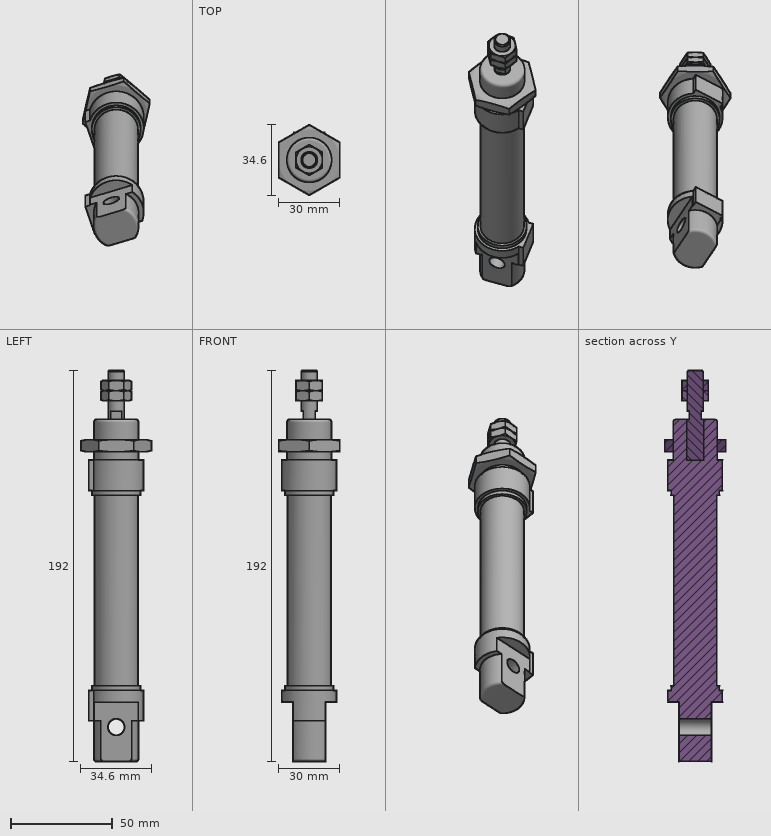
import cadquery as cq
import math

TOTAL_LENGTH = 192.0
ROD_PROTRUSION = 24.0
NOSE_LENGTH = 20.0
FRONT_CAP_HEIGHT = 15.0
COLLAR_HEIGHT = 2.35
TONGUE_LENGTH = 20.0
REAR_CAP_HEIGHT = 15.0
nose_top = TOTAL_LENGTH - ROD_PROTRUSION
front_cap_top = nose_top - NOSE_LENGTH
front_cap_bottom = front_cap_top - FRONT_CAP_HEIGHT
front_collar_bottom = front_cap_bottom - COLLAR_HEIGHT
rear_cap_top = TONGUE_LENGTH + REAR_CAP_HEIGHT
rear_collar_top = rear_cap_top + COLLAR_HEIGHT

NOSE_DIAMETER = 22.0
END_FILLET_RADIUS = 1.5
CAP_DIAMETER = 27.0
COLLAR_DIAMETER = 24.0
TUBE_DIAMETER = 21.4
PORT_PAD_WIDTH = 15.4
TONGUE_DIAMETER = 22.0
TONGUE_THICKNESS = 16.0
TONGUE_FLAT_HEIGHT = 29.2
PIVOT_HOLE_DIAMETER = 8.0
PIVOT_HOLE_HEIGHT = 17.0

ROD_DIAMETER = 8.0
ROD_TIP_DIAMETER = 6.65
ROD_FLAT_WIDTH = 6.0
ROD_FLAT_HEIGHT = 4.0
ROD_INSERTION = NOSE_LENGTH
rod_tip_chamfer = (ROD_DIAMETER - ROD_TIP_DIAMETER) / 2

NOSE_NUT_WIDTH = 30.0
NOSE_NUT_HEIGHT = 6.0
NOSE_NUT_BOTTOM = 152.0
ROD_NUT_WIDTH = 13.0
ROD_NUT_HEIGHT = 5.0
ROD_NUT_COUNT = 2
ROD_NUTS_BOTTOM = 177.0
NOSE_NUT_CHAMFER_ANGLE = 15.0
ROD_NUT_CHAMFER_ANGLE = 27.0


def cylinder(diameter, bottom, top):
    return cq.Workplane("XY", origin=(0, 0, bottom)).circle(diameter / 2).extrude(top - bottom)


def end_cap(bottom, top):
    """Round cap with a flat port pad on its +Y side."""
    radius = CAP_DIAMETER / 2
    pad = (
        cq.Workplane("XY", origin=(0, radius / 2, bottom))
        .rect(PORT_PAD_WIDTH, radius)
        .extrude(top - bottom)
    )
    return cylinder(CAP_DIAMETER, bottom, top).union(pad)


def make_nose():
    nose = cylinder(NOSE_DIAMETER, front_cap_top, nose_top)
    return nose.faces(">Z").edges().fillet(END_FILLET_RADIUS)


def make_housing():
    tongue = cylinder(TONGUE_DIAMETER, 0, TONGUE_LENGTH).faces("<Z").edges().fillet(END_FILLET_RADIUS)
    housing = (
        tongue
        .union(end_cap(TONGUE_LENGTH, rear_cap_top))
        .union(cylinder(COLLAR_DIAMETER, rear_cap_top, rear_collar_top))
        .union(cylinder(TUBE_DIAMETER, rear_collar_top, front_collar_bottom))
        .union(cylinder(COLLAR_DIAMETER, front_collar_bottom, front_cap_bottom))
        .union(end_cap(front_cap_bottom, front_cap_top))
        .union(make_nose())
    )
    for side in (-1, 1):
        flat_cut = (
            cq.Workplane("XY", origin=(side * (TONGUE_THICKNESS + CAP_DIAMETER) / 2, 0, 0))
            .rect(CAP_DIAMETER, 2 * CAP_DIAMETER)
            .extrude(TONGUE_FLAT_HEIGHT)
        )
        housing = housing.cut(flat_cut)
    pivot_hole = (
        cq.Workplane("YZ")
        .center(0, PIVOT_HOLE_HEIGHT)
        .circle(PIVOT_HOLE_DIAMETER / 2)
        .extrude(TONGUE_THICKNESS, both=True)
    )
    rod_socket = cylinder(ROD_DIAMETER, nose_top - ROD_INSERTION, nose_top)
    return housing.cut(pivot_hole).cut(rod_socket)


def make_rod():
    rod = cylinder(ROD_DIAMETER, nose_top - ROD_INSERTION, TOTAL_LENGTH)
    rod = rod.faces(">Z").edges().chamfer(rod_tip_chamfer)
    for side in (-1, 1):
        flat_cut = (
            cq.Workplane("XY", origin=(side * (ROD_FLAT_WIDTH + ROD_DIAMETER) / 2, 0, nose_top))
            .rect(ROD_DIAMETER, 2 * ROD_DIAMETER)
            .extrude(ROD_FLAT_HEIGHT)
        )
        rod = rod.cut(flat_cut)
    return rod


def make_nut(width, height, bore_diameter, chamfer_angle, bottom):
    """Hexagon nut with flats facing -X and +X and cone-chamfered corners."""
    corner_diameter = width / math.cos(math.pi / 6)
    hexagon = (
        cq.Workplane("XY", origin=(0, 0, bottom))
        .polygon(6, corner_diameter)
        .extrude(height)
        .rotate((0, 0, 0), (0, 0, 1), 30)
    )
    corner_overhang = (corner_diameter - width) / 2
    chamfer_height = corner_overhang * math.tan(math.radians(chamfer_angle))
    blank = (
        cylinder(corner_diameter, bottom, bottom + height)
        .faces("<Z or >Z")
        .edges()
        .chamfer(chamfer_height, corner_overhang)
    )
    return hexagon.intersect(blank).cut(cylinder(bore_diameter, bottom, bottom + height))


housing = make_housing()
rod = make_rod()
nose_nut = make_nut(
    NOSE_NUT_WIDTH, NOSE_NUT_HEIGHT, NOSE_DIAMETER, NOSE_NUT_CHAMFER_ANGLE, NOSE_NUT_BOTTOM
)
rod_nuts = []
for index in range(ROD_NUT_COUNT):
    nut_bottom = ROD_NUTS_BOTTOM + index * ROD_NUT_HEIGHT
    rod_nuts.append(
        make_nut(ROD_NUT_WIDTH, ROD_NUT_HEIGHT, ROD_DIAMETER, ROD_NUT_CHAMFER_ANGLE, nut_bottom)
    )

result = cq.Compound.makeCompound(
    [housing.val(), rod.val(), nose_nut.val(), *[nut.val() for nut in rod_nuts]]
)